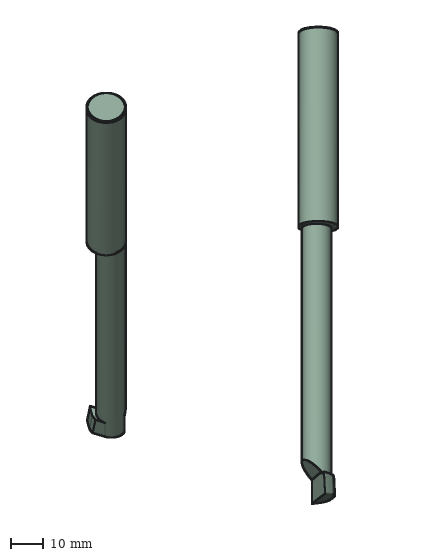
import cadquery as cq
import math


overall_length = 152.39
shank_diameter = 12.446
shank_length = 63.5
shank_chamfer = 0.4
neck_diameter = 9.3

head_length = 7.5
ramp_foot_height = 8.1
tip_reach = 6.477
tip_radius = 0.3
side_taper = 8.0
end_relief = 8.0
end_dish = 1.5

flank_end = (-4.3, -3.5)
flank_bulge = 0.1
heel_end_x = -2.75

shank_radius = shank_diameter / 2
neck_radius = neck_diameter / 2
neck_x = shank_radius - neck_radius
neck_top = overall_length - shank_length
clear = 2 * shank_diameter
end_stock = 1.0

taper = math.radians(side_taper)
dish = math.radians(end_dish)
corner_offset = tip_radius / (1 - math.sin(taper + dish))
corner_x = -tip_reach + tip_radius - corner_offset * (math.cos(taper) - math.sin(dish))
corner_z = tip_radius - corner_offset * (math.cos(dish) - math.sin(taper))


def make_shank():
    shank = cq.Workplane("XY", origin=(0, 0, neck_top)).circle(shank_radius).extrude(shank_length)
    return shank.faces(">Z").chamfer(shank_chamfer)


def make_neck():
    """Round neck with its +Y half removed at the head, ending in a 45 degree run-out."""
    neck = cq.Workplane("XY", origin=(neck_x, 0, -end_stock)).circle(neck_radius).extrude(neck_top + end_stock)
    clearance = (
        cq.Workplane("YZ", origin=(-clear, 0, 0))
        .moveTo(0, -clear)
        .lineTo(0, ramp_foot_height)
        .lineTo(clear, ramp_foot_height + clear)
        .lineTo(clear, -clear)
        .close()
        .extrude(2 * clear)
    )
    return neck.cut(clearance)


def tooth_wire(height):
    """Tooth section at a height, its free side drawn in by the back taper."""
    setback = (height - corner_z) * math.tan(taper)
    tip = cq.Vector(corner_x + setback, 0, height)
    heel = cq.Vector(flank_end[0] + setback, flank_end[1], height)
    chord = heel - tip
    outward = cq.Vector(chord.y, -chord.x, 0).normalized()
    flank_mid = (tip + heel) * 0.5 + outward * flank_bulge
    back_left = cq.Vector(heel_end_x + setback, -neck_radius, height)
    back_right = cq.Vector(neck_x, -neck_radius, height)
    rake_right = cq.Vector(neck_x, 0, height)
    return cq.Wire.assembleEdges([
        cq.Edge.makeThreePointArc(tip, flank_mid, heel),
        cq.Edge.makeLine(heel, back_left),
        cq.Edge.makeLine(back_left, back_right),
        cq.Edge.makeLine(back_right, rake_right),
        cq.Edge.makeLine(rake_right, tip),
    ])


def end_relief_cutter():
    """Block below the end face, tilted about the cutting corner."""
    block = cq.Workplane("XY").box(2 * clear, 2 * clear, clear, centered=(True, True, False))
    block = block.translate((0, 0, -clear))
    block = block.rotate((0, 0, 0), (1, 0, 0), -end_relief)
    block = block.rotate((0, 0, 0), (0, 1, 0), -end_dish)
    return block.translate((corner_x, 0, corner_z))


def make_tooth():
    """Tooth with its end face relieved and its cutting corner rounded."""
    tooth = cq.Workplane(cq.Solid.makeLoft([tooth_wire(corner_z - end_stock), tooth_wire(head_length)], True))
    tooth = tooth.cut(end_relief_cutter())
    flank = tooth.faces("<X").val()
    end_face = tooth.faces("<Z").val()
    corner_edges = [edge for edge in flank.Edges() if any(edge.isSame(other) for other in end_face.Edges())]
    return tooth.newObject(corner_edges).fillet(tip_radius)


result = make_shank().union(make_neck().cut(end_relief_cutter())).union(make_tooth())